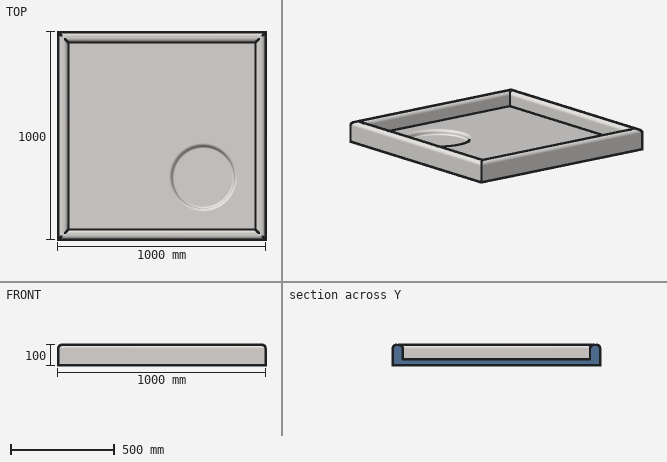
import cadquery as cq

side = 1000.0
height = 100.0
wall = 50.0
floor_thickness = 30.0
rim_radius = 20.0

drain_x = 200.0
drain_y = -200.0
drain_diameter = 300.0
drain_depth = 25.0
drain_lip_radius = 15.0
drain_bottom_radius = drain_depth - drain_lip_radius


def make_tray():
    """Square tray with the outer and inner top edges of its rim rounded."""
    inner_side = side - 2 * wall
    block = cq.Workplane("XY").box(side, side, height, centered=(True, True, False))
    cavity = (
        cq.Workplane("XY")
        .workplane(offset=floor_thickness)
        .rect(inner_side, inner_side)
        .extrude(height - floor_thickness)
    )
    return block.cut(cavity).faces(">Z").edges().fillet(rim_radius)


def make_drain_recess():
    """Volume removed for the drain: a convex lip running straight into a concave bottom corner."""
    radius = drain_diameter / 2
    mouth_radius = radius + drain_lip_radius
    flat_radius = radius - drain_bottom_radius
    bottom = floor_thickness - drain_depth
    arc_join = floor_thickness - drain_lip_radius
    half_arc = 0.5**0.5
    profile = (
        cq.Workplane("XZ")
        .moveTo(0, bottom)
        .lineTo(flat_radius, bottom)
        .threePointArc(
            (flat_radius + drain_bottom_radius * half_arc, arc_join - drain_bottom_radius * half_arc),
            (radius, arc_join),
        )
        .threePointArc(
            (mouth_radius - drain_lip_radius * half_arc, arc_join + drain_lip_radius * half_arc),
            (mouth_radius, floor_thickness),
        )
        .lineTo(0, floor_thickness)
        .close()
    )
    recess = profile.revolve(360, (0, 0, 0), (0, 1, 0))
    return recess.translate((drain_x, drain_y, 0))


result = make_tray().cut(make_drain_recess())